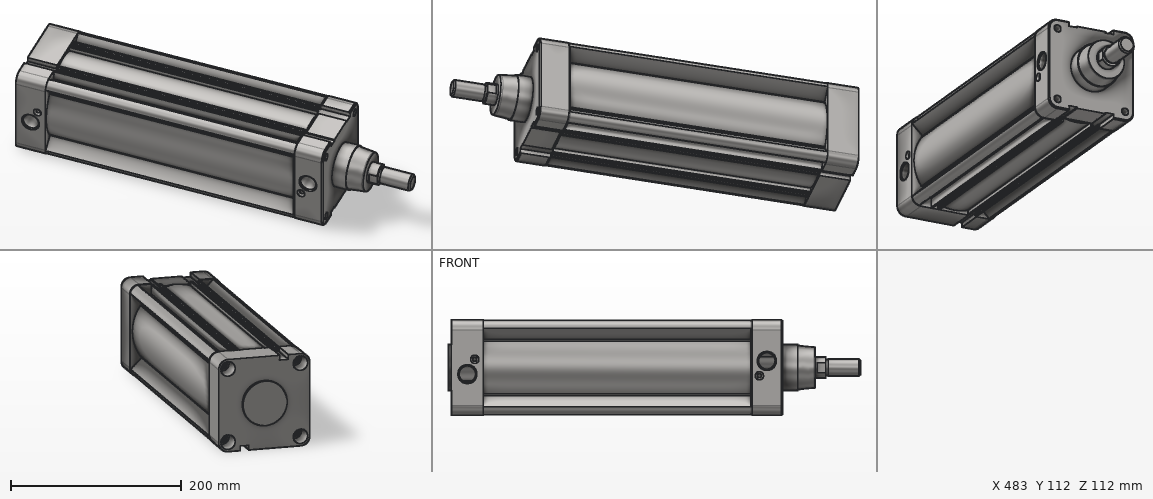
import cadquery as cq
import math

LENGTH = 483.0
SIDE = 112.0
HALF_SIDE = SIDE / 2

REAR_CAP_START = 3.5
TUBE_START = 41.0
TUBE_END = 354.5
FRONT_CAP_END = 391.5
COLLAR_END = 409.0
NECK_END = 430.0
FLATS_START = 432.5
SHOULDER_END = 442.5
THREAD_START = 445.5

CORNER_RADIUS = 11.5
SCREW_OFFSET = HALF_SIDE - CORNER_RADIUS
SCREW_HOLE_RADIUS = 4.5
SCREW_THREAD_RADIUS = 6.5
SCREW_THREAD_DEPTH = 29.0
COUNTERBORE_RADIUS = 8.5
COUNTERBORE_DEPTH = 24.0
FRONT_CAP_CHAMFER = 1.5
GASKET_THICKNESS = 1.5
GASKET_INSET = 0.5

SLOT_OFFSET = 24.0
SLOT_FLOOR = 50.0
CAP_SLOT_WIDTH = 10.5
FRONT_CAP_RECESS_FLOOR = 51.5

BARREL_RADIUS = 53.0
LOBE_EDGE = 46.0
LOBE_INSET = 0.5
FLANK_FOOT = 33.0
GROOVE_WIDTH = 2.0
GROOVE_DEPTH = 1.5
RAIL_WIDTH = 12.0
RAIL_TOP = 55.0
RAIL_SLOT_WIDTH = 8.0
RAIL_MOUTH_WIDTH = 5.0
RAIL_LIP = 2.5
RAIL_MOUTH_CHAMFER = 1.5

PORT_RADIUS = 9.5
PORT_CHAMFER = 1.5
PORT_DROP = 7.5
ADJUSTER_RADIUS = 2.5
ADJUSTER_CHAMFER = 2.5
ADJUSTER_DEPTH = 14.5
ADJUSTER_SHIFT = 8.5
ADJUSTER_RISE = 9.5

CHAMBER_RADIUS = 15.5
CHAMBER_LENGTH = 27.0

COLLAR_RADIUS = 27.0
NECK_RADIUS = 26.0
NECK_TIP_RADIUS = 24.0
NECK_CHAMFER_LENGTH = 2.0
NECK_CHAMFER_DEPTH = 0.5
ROD_RADIUS = 12.5
ROD_ACROSS_FLATS = 22.0
UNDERCUT_RADIUS = 9.0
THREAD_RADIUS = 10.0
THREAD_CHAMFER = 2.0


def section(x):
    """Workplane at station x whose local axes are Y and Z and whose normal is +X."""
    return cq.Workplane("YZ", origin=(x, 0, 0))


def block(x_start, x_end, y_mid, width, z_bottom, z_top):
    height = z_top - z_bottom
    centre = (y_mid, z_bottom + height / 2)
    return section(x_start).center(*centre).rect(width, height).extrude(x_end - x_start)


def half_turn(shape):
    """The same shape turned 180 degrees about the cylinder axis."""
    return shape.rotate((0, 0, 0), (1, 0, 0), 180)


def cap(x_start, x_end, inset=0):
    side = SIDE - 2 * inset
    body = section(x_start).rect(side, side).extrude(x_end - x_start)
    return body.edges("|X").fillet(CORNER_RADIUS - inset)


def cap_slot(x_start, x_end, y_mid):
    return block(x_start, x_end, y_mid, CAP_SLOT_WIDTH, SLOT_FLOOR, SIDE)


def rear_cap():
    slot = cap_slot(REAR_CAP_START, TUBE_START, -SLOT_OFFSET)
    return cap(REAR_CAP_START, TUBE_START).cut(slot).cut(half_turn(slot))


def front_cap_recess(inset=0):
    """Material removed along the top: two sensor slots and the shallower band between them."""
    span = (TUBE_END, FRONT_CAP_END)
    recess = block(*span, 0, 2 * SLOT_OFFSET, FRONT_CAP_RECESS_FLOOR - inset, SIDE)
    for y_mid in (-SLOT_OFFSET, SLOT_OFFSET):
        recess = recess.union(cap_slot(*span, y_mid))
    return recess


def front_cap():
    """Cap with a slightly smaller gasket plate against the tube."""
    gasket_end = TUBE_END + GASKET_THICKNESS
    recess = front_cap_recess()
    gasket_recess = front_cap_recess(GASKET_INSET)
    body = cap(gasket_end, FRONT_CAP_END).faces(">X").chamfer(FRONT_CAP_CHAMFER)
    gasket = cap(TUBE_END, gasket_end, GASKET_INSET)
    body = body.cut(recess).cut(half_turn(recess))
    gasket = gasket.cut(gasket_recess).cut(half_turn(gasket_recess))
    return body.union(gasket)


def corner_lobe():
    """Corner bar around one tie rod, tapering inwards along two flanks to the barrel."""
    lobe_radius = CORNER_RADIUS - LOBE_INSET
    edge_rise = LOBE_EDGE - SCREW_OFFSET
    edge = SCREW_OFFSET + math.sqrt(lobe_radius**2 - edge_rise**2)
    crown = SCREW_OFFSET + lobe_radius * math.sqrt(0.5)
    foot = math.sqrt(BARREL_RADIUS**2 - FLANK_FOOT**2)
    return (
        section(TUBE_START)
        .moveTo(FLANK_FOOT, FLANK_FOOT)
        .lineTo(foot, FLANK_FOOT)
        .lineTo(edge, LOBE_EDGE)
        .threePointArc((crown, crown), (LOBE_EDGE, edge))
        .lineTo(FLANK_FOOT, foot)
        .close()
        .extrude(TUBE_END - TUBE_START)
    )


def flank_groove(y_side, z_side):
    """Shallow groove in the barrel along the foot of a lobe flank on the -Y or +Y face."""
    foot = math.sqrt(BARREL_RADIUS**2 - FLANK_FOOT**2)
    y_mid = y_side * (foot + BARREL_RADIUS) / 2
    width = BARREL_RADIUS - foot + 2 * GROOVE_DEPTH
    z_edges = sorted((z_side * FLANK_FOOT, z_side * (FLANK_FOOT - GROOVE_WIDTH)))
    return block(TUBE_START, TUBE_END, y_mid, width, *z_edges)


def rail_slot(y_mid):
    """T-slot along a rail, with a chamfered mouth between the two lips."""
    half_mouth = RAIL_MOUTH_WIDTH / 2
    half_slot = RAIL_SLOT_WIDTH / 2
    return (
        section(TUBE_START)
        .center(y_mid, 0)
        .moveTo(-half_slot, SLOT_FLOOR)
        .lineTo(half_slot, SLOT_FLOOR)
        .lineTo(half_slot, RAIL_TOP - RAIL_LIP)
        .lineTo(half_mouth, RAIL_TOP - RAIL_LIP)
        .lineTo(half_mouth, RAIL_TOP - RAIL_MOUTH_CHAMFER)
        .lineTo(half_mouth + RAIL_MOUTH_CHAMFER, RAIL_TOP)
        .lineTo(-half_mouth - RAIL_MOUTH_CHAMFER, RAIL_TOP)
        .lineTo(-half_mouth, RAIL_TOP - RAIL_MOUTH_CHAMFER)
        .lineTo(-half_mouth, RAIL_TOP - RAIL_LIP)
        .lineTo(-half_slot, RAIL_TOP - RAIL_LIP)
        .close()
        .extrude(TUBE_END - TUBE_START)
    )


def tube():
    body = section(TUBE_START).circle(BARREL_RADIUS).extrude(TUBE_END - TUBE_START)
    lobe = corner_lobe()
    for quarter in range(4):
        body = body.union(lobe.rotate((0, 0, 0), (1, 0, 0), 90 * quarter))
    for y_side in (-1, 1):
        for z_side in (-1, 1):
            body = body.cut(flank_groove(y_side, z_side))
    for y_mid in (-SLOT_OFFSET, SLOT_OFFSET):
        rail = block(TUBE_START, TUBE_END, y_mid, RAIL_WIDTH, FLANK_FOOT, RAIL_TOP)
        slot = rail_slot(y_mid)
        body = body.union(rail).union(half_turn(rail)).cut(slot).cut(half_turn(slot))
    return body


def screw_hole():
    """Stepped cutter for one corner: a counterbore, the threaded part and a through hole."""
    counterbore_end = REAR_CAP_START + COUNTERBORE_DEPTH
    thread_end = REAR_CAP_START + SCREW_THREAD_DEPTH
    return (
        cq.Workplane("XY")
        .moveTo(REAR_CAP_START, 0)
        .lineTo(REAR_CAP_START, COUNTERBORE_RADIUS)
        .lineTo(counterbore_end, COUNTERBORE_RADIUS)
        .lineTo(counterbore_end, SCREW_THREAD_RADIUS)
        .lineTo(thread_end, SCREW_THREAD_RADIUS)
        .lineTo(thread_end, SCREW_HOLE_RADIUS)
        .lineTo(FRONT_CAP_END, SCREW_HOLE_RADIUS)
        .lineTo(FRONT_CAP_END, 0)
        .close()
        .revolve(360, (0, 0, 0), (1, 0, 0))
    )


def front_face_hole(x_mid, z_mid, radius, chamfer, depth):
    """Cutter for a chamfered hole drilled into the -Y face."""
    face_y = -HALF_SIDE
    hole = (
        cq.Workplane("XY")
        .moveTo(0, face_y)
        .lineTo(radius + chamfer, face_y)
        .lineTo(radius, face_y + chamfer)
        .lineTo(radius, face_y + depth)
        .lineTo(0, face_y + depth)
        .close()
        .revolve(360, (0, 0, 0), (0, 1, 0))
    )
    return hole.translate((x_mid, 0, z_mid))


def air_passage(x_mid, direction):
    """Port and cushioning screw hole of one cap; direction is +1 on the rear cap, -1 on the front."""
    port = front_face_hole(x_mid, -direction * PORT_DROP, PORT_RADIUS, PORT_CHAMFER, HALF_SIDE)
    adjuster = front_face_hole(
        x_mid + direction * ADJUSTER_SHIFT,
        direction * ADJUSTER_RISE,
        ADJUSTER_RADIUS,
        ADJUSTER_CHAMFER,
        ADJUSTER_DEPTH,
    )
    return port.union(adjuster)


def rear_chamber(x_mid):
    return section(x_mid - CHAMBER_LENGTH / 2).circle(CHAMBER_RADIUS).extrude(CHAMBER_LENGTH)


def rod_core():
    """Stretch of the piston rod that runs through the front cap."""
    return section(TUBE_END).circle(ROD_RADIUS).extrude(FRONT_CAP_END - TUBE_END)


def rear_boss():
    return section(0).circle(COLLAR_RADIUS).extrude(REAR_CAP_START)


def rod_end():
    """Guide collar, tapered neck, rod shoulder, undercut and thread, turned about the axis."""
    turned = (
        cq.Workplane("XY")
        .moveTo(FRONT_CAP_END, 0)
        .lineTo(FRONT_CAP_END, COLLAR_RADIUS)
        .lineTo(COLLAR_END, COLLAR_RADIUS)
        .lineTo(COLLAR_END, NECK_RADIUS)
        .lineTo(NECK_END - NECK_CHAMFER_LENGTH, NECK_TIP_RADIUS)
        .lineTo(NECK_END, NECK_TIP_RADIUS - NECK_CHAMFER_DEPTH)
        .lineTo(NECK_END, ROD_RADIUS)
        .lineTo(SHOULDER_END, ROD_RADIUS)
        .lineTo(SHOULDER_END, UNDERCUT_RADIUS)
        .lineTo(THREAD_START, THREAD_RADIUS)
        .lineTo(LENGTH - THREAD_CHAMFER, THREAD_RADIUS)
        .lineTo(LENGTH, THREAD_RADIUS - THREAD_CHAMFER)
        .lineTo(LENGTH, 0)
        .close()
        .revolve(360, (0, 0, 0), (1, 0, 0))
    )
    flat_depth = ROD_RADIUS - ROD_ACROSS_FLATS / 2
    for side in (-1, 1):
        flat_mid = side * (ROD_ACROSS_FLATS + flat_depth) / 2
        turned = turned.cut(
            block(FLATS_START, SHOULDER_END, flat_mid, flat_depth, -ROD_RADIUS, ROD_RADIUS)
        )
    return turned


result = rear_boss().union(rear_cap()).union(tube()).union(front_cap()).union(rod_end())

for y_sign in (-1, 1):
    for z_sign in (-1, 1):
        position = (0, y_sign * SCREW_OFFSET, z_sign * SCREW_OFFSET)
        result = result.cut(screw_hole().translate(position))

rear_cap_middle = (REAR_CAP_START + TUBE_START) / 2
front_cap_middle = (TUBE_END + FRONT_CAP_END) / 2
result = result.cut(air_passage(rear_cap_middle, 1)).cut(rear_chamber(rear_cap_middle))
result = result.cut(air_passage(front_cap_middle, -1)).union(rod_core())